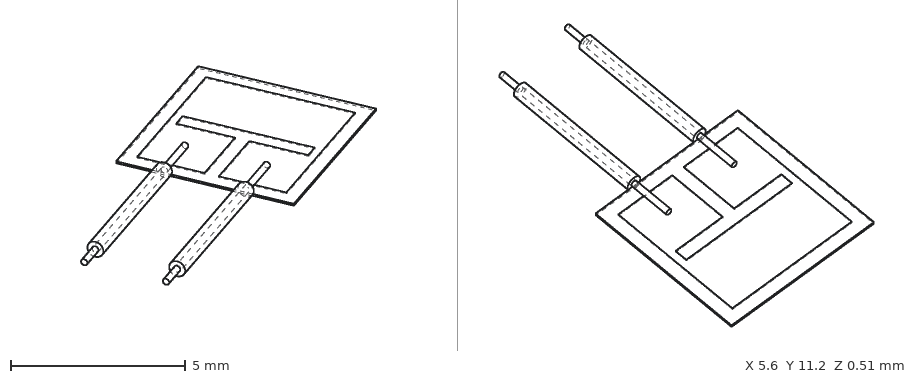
import cadquery as cq

sheet_width = 5.6
sheet_length = 5.7
sheet_thickness = 0.07

pad_margin = 0.45
front_margin = 0.47
pad_thickness = sheet_thickness / 2
pad_width = sheet_width - 2 * pad_margin
pad_length = sheet_length - pad_margin - front_margin

gap_width = 0.45
stem_length = 2.12
side_bridge = 0.27
crossbar_length = pad_width - 2 * side_bridge

wire_diameter = 0.2
sleeve_diameter = 0.51
wire_spacing = 2.58
wire_overlap = 1.46
sleeve_length = 4.77
overall_length = 11.25
bare_tail = overall_length - sheet_length - sleeve_length
wire_length = wire_overlap + sleeve_length + bare_tail
wire_height = wire_diameter / 2


def make_block(width, length, thickness, front_y):
    """Block centred on x = 0, reaching back from front_y and down from z = 0."""
    return (
        cq.Workplane("XY")
        .box(width, length, thickness, centered=(True, False, False))
        .translate((0, front_y, -thickness))
    )


def make_pad():
    pad = make_block(pad_width, pad_length, pad_thickness, front_margin)
    stem = make_block(gap_width, stem_length, pad_thickness, front_margin)
    crossbar = make_block(crossbar_length, gap_width, pad_thickness, front_margin + stem_length)
    return pad.cut(stem).cut(crossbar)


def make_sheet(pad):
    """Sheet with a recess that matches the pad."""
    return make_block(sheet_width, sheet_length, sheet_thickness, 0).cut(pad)


def make_rod(x, back_y, diameter, length):
    """Cylinder running forward (-Y) from back_y at the wire height."""
    return (
        cq.Workplane("XZ", origin=(x, back_y, wire_height))
        .circle(diameter / 2)
        .extrude(length)
    )


def make_wire(x):
    return make_rod(x, wire_overlap, wire_diameter, wire_length)


def make_sleeve(x):
    """Tube that starts at the front edge of the sheet and fits the wire."""
    bore = make_rod(x, 0, wire_diameter, sleeve_length)
    return make_rod(x, 0, sleeve_diameter, sleeve_length).cut(bore)


pad = make_pad()
sheet = make_sheet(pad)

wires = []
sleeves = []
for wire_x in (-wire_spacing / 2, wire_spacing / 2):
    wires.append(make_wire(wire_x).val())
    sleeves.append(make_sleeve(wire_x).val())

result = cq.Compound.makeCompound([sheet.val(), pad.val(), *wires, *sleeves])